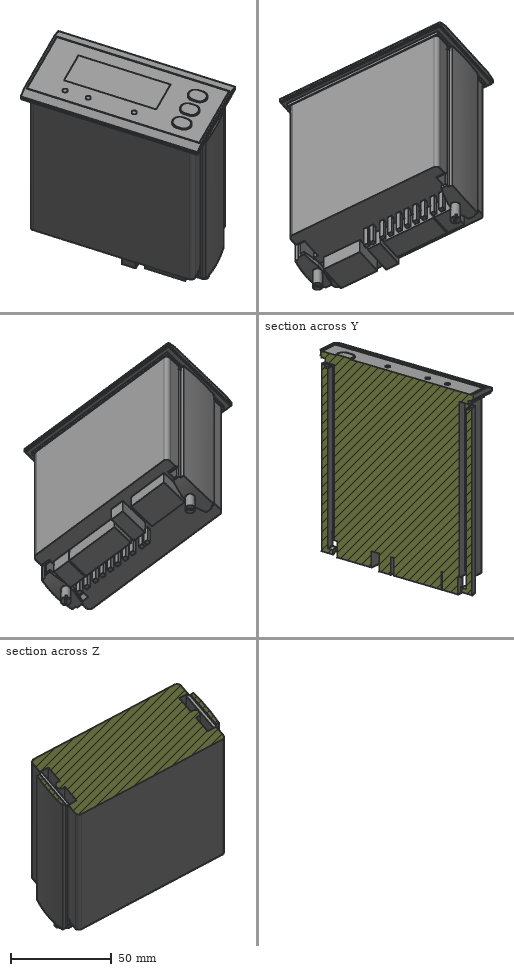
import cadquery as cq


WIDTH = 96.0
HEIGHT = 48.0
LENGTH = 120.0

GASKET_THICKNESS = 1.0
GASKET_INSET = 0.5
BEZEL_THICKNESS = 3.2
BEVEL_DROP = 1.5
BEVEL_RUN = 4.7
Z_BEZEL = GASKET_THICKNESS
Z_FRONT = Z_BEZEL + BEZEL_THICKNESS
Z_SCREW_END = Z_FRONT - LENGTH

FACE_WIDTH = 93.6
FACE_HEIGHT = 38.0
FACE_DEPTH = 0.5
Z_FACE = Z_FRONT - FACE_DEPTH
WINDOW_WIDTH = 50.0
WINDOW_HEIGHT = 18.3
WINDOW_X = -7.0
WINDOW_Y = 2.8
WINDOW_DEPTH = 0.1
LAMP_DIAMETER = 2.6
LAMP_DEPTH = 0.1
LAMP_Y = -12.5
LAMP_X = (-28.8, -16.3, 8.7)
BUTTON_LENGTH = 10.2
BUTTON_WIDTH = 7.8
BUTTON_RISE = 0.5
BUTTON_CHAMFER = 0.45
BUTTON_X = 33.5
BUTTON_PITCH = 10.0

COLLAR_WIDTH = 90.0
COLLAR_HEIGHT = 43.2
COLLAR_LENGTH = 2.1
HOUSING_WIDTH = 89.2
HOUSING_HEIGHT = 42.5
HOUSING_CORNER_RADIUS = 2.3
HOUSING_END = 96.8
Z_COLLAR = -COLLAR_LENGTH
Z_HOUSING = -HOUSING_END

SCREW_DIAMETER = 5.0
SCREW_X = 41.3
SCREW_SLOT_WIDTH = 1.0
SCREW_SLOT_DEPTH = 1.4
SCREW_SLOT_ANGLE = 45.0
CLIP_WIDTH = 25.0
COVER_WIDTH = 23.0
CLIP_CROWN_X = WIDTH / 2 - 0.3
COVER_EDGE_X = CLIP_CROWN_X - 0.6
COVER_BASE_X = 45.2
FLANGE_X = HOUSING_WIDTH / 2
CLIP_INNER_X = 43.4
FOOT_TIP_X = SCREW_X - SCREW_DIAMETER / 2
FOOT_TAPER_X = 41.0
FOOT_TIP_WIDTH = 6.0
FOOT_THICKNESS = 3.5
FOOT_BULGE = 1.7
Z_COVER_TOP = -3.2
Z_LEG_TOP = -4.8
Z_FOOT = -102.0

GROOVE_FLOOR_X = 39.5
RAIL_DIAMETER = 5.0
RAIL_X = 40.5
GROOVE_FLARE_LENGTH = 2.9
GROOVE_FLARE_START = 23.8
GROOVE_FLARE_END = GROOVE_FLARE_START + 2 * GROOVE_FLARE_LENGTH

BLOCK_LENGTH = 9.7
LONG_BLOCK_FRONT_Y = -12.5
BLOCKS = (
    (-38.3, -28.5, LONG_BLOCK_FRONT_Y, BLOCK_LENGTH),
    (-27.9, 2.0, LONG_BLOCK_FRONT_Y, BLOCK_LENGTH),
    (3.8, 11.3, -16.8, BLOCK_LENGTH),
    (15.9, 37.7, -15.7, 8.8),
)
BLOCK_BACK_Y = 0.0
PIN_X = (-35.9, -30.9, -25.2, -20.4, -15.3, -10.4, -5.3, -0.5, 5.6, 9.1)
PIN_WIDTH = 2.4
PIN_DEPTH = 2.1
PIN_Y = 4.1
PIN_LENGTH = 11.8

OVERLAP = 1.0


def box(x0, x1, y0, y1, z0, z1):
    """Axis-aligned box between two corners."""
    return cq.Workplane("XY").box(x1 - x0, y1 - y0, z1 - z0, centered=False).translate((x0, y0, z0))


def centered_box(width, height, z0, z1):
    return box(-width / 2, width / 2, -height / 2, height / 2, z0, z1)


def make_bezel():
    """Bezel bevelled along its long edges, with the gasket behind it."""
    half = HEIGHT / 2
    profile = [
        (-half, Z_BEZEL),
        (half, Z_BEZEL),
        (half, Z_FRONT - BEVEL_DROP),
        (half - BEVEL_RUN, Z_FRONT),
        (BEVEL_RUN - half, Z_FRONT),
        (-half, Z_FRONT - BEVEL_DROP),
    ]
    bezel = cq.Workplane("YZ").polyline(profile).close().extrude(WIDTH / 2, both=True)
    bezel = bezel.cut(centered_box(FACE_WIDTH, FACE_HEIGHT, Z_FACE, Z_FRONT))
    gasket = centered_box(WIDTH - 2 * GASKET_INSET, HEIGHT - 2 * GASKET_INSET, 0, Z_BEZEL)
    return bezel.union(gasket)


def add_front_details(bezel):
    """Display window, indicator lamps and raised buttons."""
    face = cq.Workplane("XY").workplane(offset=Z_FACE)
    window = face.center(WINDOW_X, WINDOW_Y).rect(WINDOW_WIDTH, WINDOW_HEIGHT).extrude(-WINDOW_DEPTH)
    lamps = face.pushPoints([(x, LAMP_Y) for x in LAMP_X]).circle(LAMP_DIAMETER / 2).extrude(-LAMP_DEPTH)
    button_places = [(BUTTON_X, i * BUTTON_PITCH) for i in (-1, 0, 1)]
    buttons = face.pushPoints(button_places).slot2D(BUTTON_LENGTH, BUTTON_WIDTH).extrude(BUTTON_RISE)
    buttons = buttons.faces(">Z").chamfer(BUTTON_CHAMFER)
    return bezel.cut(window).cut(lamps).union(buttons)


def make_groove():
    """Clip groove in the +X side of the housing, flared at its rear end."""
    half = CLIP_WIDTH / 2
    groove = box(GROOVE_FLOOR_X, FLANGE_X, -half, half, Z_HOUSING, Z_COLLAR)
    flare_outline = [
        (-GROOVE_FLARE_END / 2, Z_HOUSING),
        (GROOVE_FLARE_END / 2, Z_HOUSING),
        (GROOVE_FLARE_START / 2, Z_HOUSING + GROOVE_FLARE_LENGTH),
        (-GROOVE_FLARE_START / 2, Z_HOUSING + GROOVE_FLARE_LENGTH),
    ]
    flare = cq.Workplane("YZ", origin=(GROOVE_FLOOR_X, 0, 0)).polyline(flare_outline).close()
    return groove.union(flare.extrude(FLANGE_X - GROOVE_FLOOR_X))


def make_housing():
    """Collar and rounded housing with a round rail standing in each side groove."""
    collar = centered_box(COLLAR_WIDTH, COLLAR_HEIGHT, Z_COLLAR, 0)
    tube = centered_box(HOUSING_WIDTH, HOUSING_HEIGHT, Z_HOUSING, Z_COLLAR)
    tube = tube.edges("|Z").fillet(HOUSING_CORNER_RADIUS)
    groove = make_groove()
    tube = tube.cut(groove).cut(groove.mirror("YZ"))
    rails = cq.Workplane("XY", origin=(0, 0, Z_HOUSING)).pushPoints([(-RAIL_X, 0), (RAIL_X, 0)])
    rails = rails.circle(RAIL_DIAMETER / 2).extrude(HOUSING_END - COLLAR_LENGTH)
    return tube.union(rails).union(collar)


def make_clip():
    """Clip on the +X side: crowned cover, leg in the groove, tapered foot."""
    half_cover = COVER_WIDTH / 2
    half_clip = CLIP_WIDTH / 2
    half_tip = FOOT_TIP_WIDTH / 2
    z_foot_end = Z_FOOT - FOOT_THICKNESS
    cover_length = Z_COVER_TOP - z_foot_end
    leg_length = Z_LEG_TOP - z_foot_end

    bottom = cq.Workplane("XY", origin=(0, 0, z_foot_end))
    cover = (
        bottom.moveTo(COVER_BASE_X, -half_cover)
        .lineTo(COVER_EDGE_X, -half_cover)
        .threePointArc((CLIP_CROWN_X, 0), (COVER_EDGE_X, half_cover))
        .lineTo(COVER_BASE_X, half_cover)
        .close()
        .extrude(cover_length)
    )
    leg_outline = [
        (COVER_BASE_X, -half_cover),
        (COVER_BASE_X, half_cover),
        (FLANGE_X, half_clip),
        (CLIP_INNER_X, half_clip),
        (CLIP_INNER_X, -half_clip),
        (FLANGE_X, -half_clip),
    ]
    leg = bottom.polyline(leg_outline).close().extrude(leg_length)
    foot_outline = [
        (FLANGE_X, -half_clip),
        (FLANGE_X, half_clip),
        (FOOT_TAPER_X, half_clip),
        (FOOT_TIP_X, half_tip),
        (FOOT_TIP_X, -half_tip),
        (FOOT_TAPER_X, -half_clip),
    ]
    foot = bottom.polyline(foot_outline).close().extrude(FOOT_THICKNESS)

    z_edge = z_foot_end + FOOT_BULGE
    bulged_outline = (
        cq.Workplane("YZ")
        .moveTo(-half_clip, Z_COVER_TOP)
        .lineTo(-half_clip, z_edge)
        .threePointArc((0, z_foot_end), (half_clip, z_edge))
        .lineTo(half_clip, Z_COVER_TOP)
        .close()
        .extrude(WIDTH / 2)
    )
    return cover.union(leg).union(foot).intersect(bulged_outline)


def make_screw():
    """Clamping screw on the +X side with a driver slot across its rear end."""
    screw = cq.Workplane("XY", origin=(SCREW_X, 0, Z_SCREW_END)).circle(SCREW_DIAMETER / 2)
    screw = screw.extrude(Z_FOOT - Z_SCREW_END)
    slot = centered_box(2 * SCREW_DIAMETER, SCREW_SLOT_WIDTH, 0, SCREW_SLOT_DEPTH)
    slot = slot.rotate((0, 0, 0), (0, 0, 1), SCREW_SLOT_ANGLE).translate((SCREW_X, 0, Z_SCREW_END))
    return screw.cut(slot)


def make_terminals():
    """Terminal blocks and contact pins on the rear of the housing."""
    z_root = Z_HOUSING + OVERLAP
    terminals = cq.Workplane("XY")
    for x_start, x_end, front_y, length in BLOCKS:
        terminals = terminals.union(box(x_start, x_end, front_y, BLOCK_BACK_Y, Z_HOUSING - length, z_root))
    pins = centered_box(PIN_WIDTH, PIN_DEPTH, Z_HOUSING - PIN_LENGTH, z_root)
    for x in PIN_X:
        terminals = terminals.union(pins.translate((x, PIN_Y, 0)))
    return terminals


clamp = make_clip().union(make_screw())
result = add_front_details(make_bezel()).union(make_housing()).union(make_terminals())
result = result.union(clamp).union(clamp.mirror("YZ"))